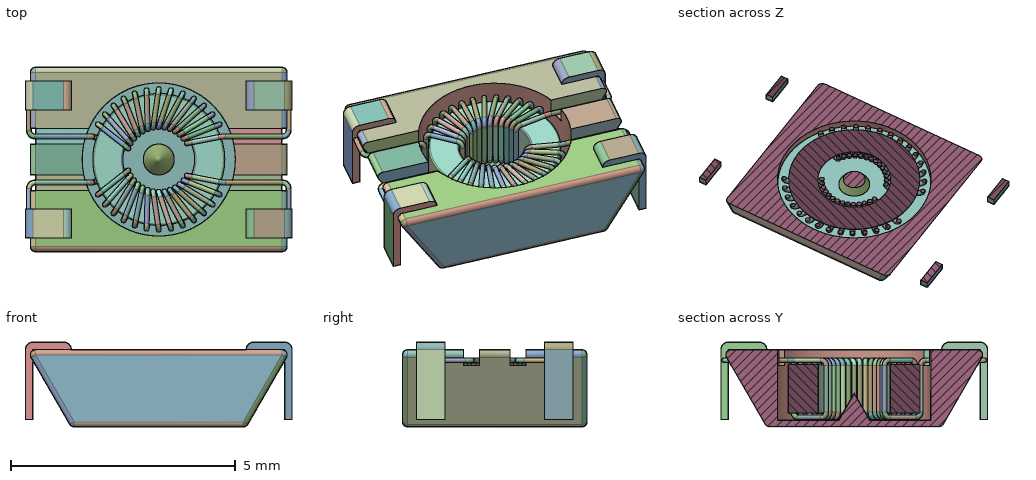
import cadquery as cq
import math

overall_height = 1.89
housing_width = 4.11
wall_slant = math.radians(30)
edge_radius = 0.115
housing_reach = 2.86

terminal_reach = 2.97
terminal_thickness = 0.17
terminal_width = 0.645
terminal_offset = 1.425
terminal_foot_end = 1.945
terminal_drop = 1.725

housing_height = overall_height - terminal_thickness
rim_setback = edge_radius / math.tan((math.pi / 2 - wall_slant) / 2) - edge_radius
top_half_length = housing_reach + rim_setback
bottom_half_length = top_half_length - housing_height * math.tan(wall_slant)

cavity_radius = 1.705
cavity_floor = 0.15
cone_radius = 0.345
cone_height = 0.6

slot_inner = 0.341
slot_outer = 0.694
slot_depth = 0.354

core_outer_radius = 1.47
core_inner_radius = 0.80
core_edge_radius = 0.03
core_top = 1.40
core_bottom = 0.30

wire_radius = 0.055
wire_gap = 0.03
strand_top = core_top + wire_radius + wire_gap
strand_bottom = core_bottom - wire_radius - wire_gap
outer_post_radius = 1.565
inner_post_radius = 0.72
bend_radius = 0.12
lead_bend_radius = 0.135
entry_bend_radius = 0.8

turn_step = 10
first_turn = 30
last_turn = 160
lead_y = 0.513
lead_reach = 2.89
entry_x = 1.41


def make_terminal(x_side, y_side):
    """Angle strip: a foot on the housing top and a leg hanging down its end."""
    foot_length = terminal_reach - terminal_foot_end
    round_radius = terminal_thickness
    leg_bottom = overall_height - terminal_drop
    y_face = terminal_offset + terminal_width / 2
    profile = (
        cq.Workplane("XZ", origin=(0, y_face, 0))
        .moveTo(terminal_foot_end, housing_height)
        .radiusArc((terminal_foot_end + round_radius, overall_height), round_radius)
        .hLine(foot_length - 2 * round_radius)
        .radiusArc((terminal_reach, overall_height - round_radius), round_radius)
        .lineTo(terminal_reach, leg_bottom)
        .hLine(-terminal_thickness)
        .lineTo(terminal_reach - terminal_thickness, housing_height)
        .close()
    )
    terminal = profile.extrude(terminal_width)
    if x_side < 0:
        terminal = terminal.mirror("YZ")
    if y_side < 0:
        terminal = terminal.mirror("XZ")
    return terminal


def make_housing(terminals):
    """Rounded trough-shaped block with a round cavity and four wire slots."""
    housing = (
        cq.Workplane("XZ")
        .moveTo(-bottom_half_length, 0)
        .lineTo(bottom_half_length, 0)
        .lineTo(top_half_length, housing_height)
        .lineTo(-top_half_length, housing_height)
        .close()
        .extrude(housing_width / 2, both=True)
        .edges()
        .fillet(edge_radius)
    )
    cavity = (
        cq.Workplane("XY", origin=(0, 0, cavity_floor))
        .circle(cavity_radius)
        .extrude(housing_height)
    )
    housing = housing.cut(cavity)

    slot_width = slot_outer - slot_inner
    for side in (1, -1):
        slot = (
            cq.Workplane("XY", origin=(0, side * (slot_inner + slot_outer) / 2, housing_height))
            .rect(2 * top_half_length, slot_width)
            .extrude(-slot_depth)
        )
        housing = housing.cut(slot)

    cone = cq.Workplane(
        cq.Solid.makeCone(cone_radius, 0, cone_height, pnt=cq.Vector(0, 0, cavity_floor))
    )
    housing = housing.union(cone)

    for terminal in terminals:
        housing = housing.cut(terminal)
    return housing


def make_core():
    """Ring core with slightly rounded edges."""
    return (
        cq.Workplane("XY", origin=(0, 0, core_bottom))
        .circle(core_outer_radius)
        .circle(core_inner_radius)
        .extrude(core_top - core_bottom)
        .edges()
        .fillet(core_edge_radius)
    )


def polar(radius, degrees, z):
    angle = math.radians(degrees)
    return cq.Vector(radius * math.cos(angle), radius * math.sin(angle), z)


def rounded_path(corners):
    """Wire through (point, bend radius) pairs, each inner corner replaced by an arc."""
    edges = []
    start = corners[0][0]
    for index in range(1, len(corners) - 1):
        corner, radius = corners[index]
        back = (corners[index - 1][0] - corner).normalized()
        ahead = (corners[index + 1][0] - corner).normalized()
        half_angle = back.getAngle(ahead) / 2
        tangent_length = radius / math.tan(half_angle)
        arc_start = corner + back * tangent_length
        arc_end = corner + ahead * tangent_length
        crown = radius / math.sin(half_angle) - radius
        arc_middle = corner + (back + ahead).normalized() * crown
        edges.append(cq.Edge.makeLine(start, arc_start))
        edges.append(cq.Edge.makeThreePointArc(arc_start, arc_middle, arc_end))
        start = arc_end
    edges.append(cq.Edge.makeLine(start, corners[-1][0]))
    return cq.Wire.assembleEdges(edges)


def make_winding():
    """Wire on the +Y half of the core, running from terminal to terminal."""
    terminal_face = terminal_offset - terminal_width / 2
    exit_angle = 180 - math.degrees(math.asin(lead_y / outer_post_radius))

    corners = [
        (cq.Vector(lead_reach, terminal_face, strand_top), 0),
        (cq.Vector(lead_reach, lead_y, strand_top), lead_bend_radius),
        (cq.Vector(entry_x, lead_y, strand_top), entry_bend_radius),
    ]
    for turn in range(first_turn, last_turn + 1, turn_step):
        outer_angle = exit_angle if turn == last_turn else turn
        corners += [
            (polar(inner_post_radius, turn, strand_top), bend_radius),
            (polar(inner_post_radius, turn, strand_bottom), bend_radius),
            (polar(outer_post_radius, outer_angle, strand_bottom), bend_radius),
            (polar(outer_post_radius, outer_angle, strand_top), bend_radius),
        ]
    corners += [
        (cq.Vector(-lead_reach, lead_y, strand_top), lead_bend_radius),
        (cq.Vector(-lead_reach, terminal_face, strand_top), 0),
    ]

    path = rounded_path(corners)
    section = cq.Workplane("XZ", origin=corners[0][0].toTuple()).circle(wire_radius)
    return section.sweep(cq.Workplane(path))


terminals = [make_terminal(x_side, y_side) for x_side in (1, -1) for y_side in (1, -1)]
housing = make_housing(terminals)
core = make_core()
upper_winding = make_winding()
lower_winding = upper_winding.mirror("XZ")

result = cq.Compound.makeCompound(
    [
        housing.val(),
        *[terminal.val() for terminal in terminals],
        core.val(),
        upper_winding.val(),
        lower_winding.val(),
    ]
)